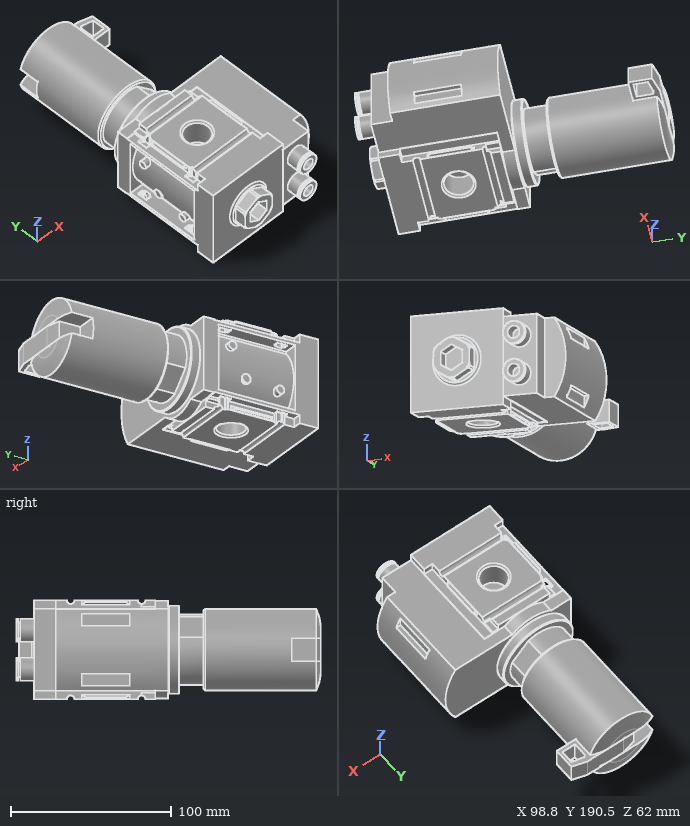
import cadquery as cq
import math


BLOCK_WIDTH = 62.0
BLOCK_HALF = BLOCK_WIDTH / 2
BLOCK_LENGTH = 84.0
LEDGE_Z = 25.5
RAIL_Z = 25.1
FRONT_PLATE_LENGTH = 13.7
STRIP_START_Y = 76.0
PAD_HALF_WIDTH = 24.4
CORNER_NOTCH_X = 20.2
CORNER_NOTCH_Y = 67.2
CORNER_NOTCH_Z = 26.9
COLLAR_TOP_Z = 30.7
COLLAR_HALF_WIDTH = 15.2

GROOVE_RADIUS = 2.3
GROOVE_CENTRES_Y = (23.0, 67.5)
PORT_Y = 45.0
PORT_DIAMETER = 18.7
PORT_DEPTH = 19
PORT_CHAMFER = 1.3
TAB_REACH = 2.5
TAB_LENGTH = 30.1
TAB_END_TAPER = 2.3
TAB_TOP_Z = 30.5
TAB_EDGE_Z = 29.7
TAB_ROOT_Z = 28.0
CLIP_CENTRES_Y = (24.4, 65.7)
CLIP_WIDTH = 7.5
CLIP_NECK_WIDTH = 4.5
CLIP_OUTER_X = 27.8
CLIP_STEP_X = 24.0
CLIP_INNER_X = 22.9

RECESS_START_Y = 16.8
RECESS_END_Y = 73.0
RECESS_HALF_HEIGHT = 22.7
RECESS_FLOOR_X = -20.0
INNER_CYLINDER_RADIUS = 29.0
PIN_DIAMETER = 5.5
LARGE_PIN_DIAMETER = 6.3
PINS = (
    (62.5, 11.0, PIN_DIAMETER, -30.7),
    (51.0, -8.4, LARGE_PIN_DIAMETER, -28.5),
    (27.5, -10.9, PIN_DIAMETER, -30.7),
)

MODULE_START_Y = 0.2
MODULE_WIDTH = 36.8
MODULE_END_X = BLOCK_HALF + MODULE_WIDTH
MODULE_ARC_START_X = 60.0
FOOT_END_X = 53.5
FOOT_LENGTH = 13.7
DISPLAY_NOTCH_X = 62.0
DISPLAY_NOTCH_Z = 15.0
DISPLAY_NOTCH_LENGTH = 30.1

FITTING_X = 42.3
FITTING_Z = 12.2
FITTING_DIAMETER = 14.5
FITTING_LENGTH = 11.0
FITTING_GROOVE_DIAMETER = 10.0
FITTING_GROOVE_WIDTH = 1.1
FITTING_RIM = 1.3
FITTING_BORE = 8.0
FITTING_BORE_DEPTH = 9.5

PLUG_LENGTH = 9.3
PLUG_ACROSS_FLATS = 24.2
PLUG_CORNER_DIAMETER = 27.0
PLUG_CHAMFER = 0.8
PLUG_BASE_RADIUS = 16.2
PLUG_BASE_TOP_RADIUS = 14.5
PLUG_BASE_HEIGHT = 1.1
SOCKET_ACROSS_FLATS = 14.5
SOCKET_DEPTH = 8.4

FLANGE_DIAMETER = 55.0
FLANGE_END_Y = 91.0
FLANGE_CHAMFER = 0.5
NECK_DIAMETER = 44.2
NECK_FLAT_DISTANCE = 20.2
KNOB_RADIUS = 25.5
KNOB_START_Y = 106.0
KNOB_SHOULDER_Y = 176.5
KNOB_END_Y = 179.5
KNOB_CHAMFER = 1.1
KNOB_TOP_RADIUS = 13.7

SLIDE_WIDTH = 14.5
SLIDE_BOTTOM_Y = 161.4
SLIDE_LEFT_X = -9.5
SLIDE_RIGHT_X = 39.2
SLIDE_SLOPE_LENGTH = 10.3
EYE_LEFT_X = 27.0
EYE_RIGHT_X = 37.0
EYE_BOTTOM_Y = 164.2
EYE_TOP_LEFT_Y = 175.8
EYE_TOP_RIGHT_Y = 173.5
EYE_CORNER_RADIUS = 1.5

PORT_MOUTH_DIAMETER = PORT_DIAMETER + 2 * PORT_CHAMFER


def box(x0, x1, y0, y1, z0, z1):
    """Box between two opposite corners."""
    return cq.Workplane("XY").box(x1 - x0, y1 - y0, z1 - z0, centered=False).translate((x0, y0, z0))


def rod(diameter, y0, y1, x=0, z=0):
    """Cylinder along Y."""
    return cq.Workplane("XZ", origin=(x, y0, z)).circle(diameter / 2).extrude(y0 - y1)


def hexagon(across_flats, y0, y1):
    """Hexagonal prism on the Y axis with two flats facing +X and -X."""
    corner_diameter = across_flats / math.cos(math.pi / 6)
    prism = cq.Workplane("XZ", origin=(0, y0, 0)).polygon(6, corner_diameter).extrude(y0 - y1)
    return prism.rotate((0, 0, 0), (0, 1, 0), 30)


def both_faces(upper):
    """The shape together with its mirror image below the XY plane."""
    return upper.union(upper.mirror("XY"))


def valve_block():
    """Block with a full-height front plate and a narrower raised pad above and below."""
    block = box(-BLOCK_HALF, BLOCK_HALF, 0, BLOCK_LENGTH, -LEDGE_Z, LEDGE_Z)
    block = block.union(box(-BLOCK_HALF, BLOCK_HALF, 0, FRONT_PLATE_LENGTH, -BLOCK_HALF, BLOCK_HALF))
    pad = box(-PAD_HALF_WIDTH, PAD_HALF_WIDTH, 0, STRIP_START_Y, -BLOCK_HALF, BLOCK_HALF)
    block = block.union(pad)
    for side in (-1, 1):
        rail_edges = sorted((side * PAD_HALF_WIDTH, side * BLOCK_HALF))
        above_rail = box(*rail_edges, FRONT_PLATE_LENGTH, STRIP_START_Y, RAIL_Z, BLOCK_HALF)
        notch_edges = sorted((side * CORNER_NOTCH_X, side * PAD_HALF_WIDTH))
        notch = box(*notch_edges, CORNER_NOTCH_Y, STRIP_START_Y, CORNER_NOTCH_Z, BLOCK_HALF)
        block = block.cut(both_faces(above_rail)).cut(both_faces(notch))
    return block.union(both_faces(collar()))


def collar():
    """Arched collar on the back strip."""
    return (
        cq.Workplane("XZ", origin=(0, STRIP_START_Y, 0))
        .moveTo(-COLLAR_HALF_WIDTH, LEDGE_Z)
        .threePointArc((0, COLLAR_TOP_Z), (COLLAR_HALF_WIDTH, LEDGE_Z))
        .close()
        .extrude(STRIP_START_Y - BLOCK_LENGTH)
    )


def pad_grooves():
    """Half-round grooves across the pads."""
    grooves = cq.Workplane("YZ", origin=(-PAD_HALF_WIDTH, 0, 0))
    grooves = grooves.pushPoints([(y, BLOCK_HALF) for y in GROOVE_CENTRES_Y])
    return both_faces(grooves.circle(GROOVE_RADIUS).extrude(2 * PAD_HALF_WIDTH))


def ports():
    """Blind ports with a chamfered mouth."""
    bore = cq.Workplane("XY", origin=(0, PORT_Y, BLOCK_HALF)).circle(PORT_DIAMETER / 2).extrude(-PORT_DEPTH)
    mouth = (
        cq.Workplane("XY", origin=(0, PORT_Y, BLOCK_HALF))
        .circle(PORT_MOUTH_DIAMETER / 2)
        .workplane(offset=-PORT_CHAMFER)
        .circle(PORT_DIAMETER / 2)
        .loft()
    )
    return both_faces(bore.union(mouth))


def side_tabs():
    """Wedge-shaped tabs on both sides of each pad, tapered at their ends."""
    tip_x = PAD_HALF_WIDTH + TAB_REACH
    half_length = TAB_LENGTH / 2
    tip_half_length = half_length - TAB_END_TAPER
    plan = (
        cq.Workplane("XY")
        .polyline([
            (PAD_HALF_WIDTH, PORT_Y - half_length),
            (tip_x, PORT_Y - tip_half_length),
            (tip_x, PORT_Y + tip_half_length),
            (PAD_HALF_WIDTH, PORT_Y + half_length),
        ])
        .close()
        .extrude(BLOCK_HALF)
    )
    section = (
        cq.Workplane("XZ", origin=(0, PORT_Y - half_length, 0))
        .polyline([
            (PAD_HALF_WIDTH, TAB_ROOT_Z),
            (tip_x, TAB_EDGE_Z),
            (tip_x, TAB_TOP_Z),
            (PAD_HALF_WIDTH, TAB_TOP_Z),
        ])
        .close()
        .extrude(-TAB_LENGTH)
    )
    right_tab = plan.intersect(section)
    return both_faces(right_tab.union(right_tab.mirror("YZ")))


def side_recess():
    """Window in the -X side that leaves the inner cylinder standing."""
    window = box(
        -BLOCK_HALF, RECESS_FLOOR_X, RECESS_START_Y, RECESS_END_Y, -RECESS_HALF_HEIGHT, RECESS_HALF_HEIGHT
    )
    return window.cut(rod(2 * INNER_CYLINDER_RADIUS, RECESS_START_Y, RECESS_END_Y))


def recess_pins():
    """Pins standing out of the inner cylinder towards -X."""
    pins = cq.Workplane("YZ")
    for y, z, diameter, end_x in PINS:
        pin = cq.Workplane("YZ", origin=(end_x, y, z)).circle(diameter / 2).extrude(RECESS_FLOOR_X - end_x)
        pins = pins.union(pin)
    return pins


def clip_pockets():
    """Stepped pockets through the rails into the side recess."""
    half = CLIP_WIDTH / 2
    neck_half = CLIP_NECK_WIDTH / 2
    pockets = cq.Workplane("XY")
    for y in CLIP_CENTRES_Y:
        wide = box(-CLIP_OUTER_X, -CLIP_STEP_X, y - half, y + half, RECESS_HALF_HEIGHT, BLOCK_HALF)
        narrow = box(
            -CLIP_STEP_X, -CLIP_INNER_X, y - neck_half, y + neck_half, RECESS_HALF_HEIGHT, BLOCK_HALF
        )
        pockets = pockets.union(wide).union(narrow)
    return both_faces(pockets)


def gauge_module():
    """Side module with a rounded outer face, a stepped front and two display notches."""
    module = (
        cq.Workplane("XZ", origin=(0, MODULE_START_Y, 0))
        .moveTo(BLOCK_HALF, -LEDGE_Z)
        .lineTo(MODULE_ARC_START_X, -LEDGE_Z)
        .threePointArc((MODULE_END_X, 0), (MODULE_ARC_START_X, LEDGE_Z))
        .lineTo(BLOCK_HALF, LEDGE_Z)
        .close()
        .extrude(MODULE_START_Y - BLOCK_LENGTH)
    )
    step = box(FOOT_END_X, MODULE_END_X, 0, FOOT_LENGTH, -LEDGE_Z, LEDGE_Z)
    notch = box(
        DISPLAY_NOTCH_X, MODULE_END_X,
        PORT_Y - DISPLAY_NOTCH_LENGTH / 2, PORT_Y + DISPLAY_NOTCH_LENGTH / 2,
        DISPLAY_NOTCH_Z, LEDGE_Z,
    )
    return module.cut(step).cut(both_faces(notch))


def fitting(z):
    """Tube fitting with a grooved rim and a blind bore."""
    rim_start = FITTING_RIM - FITTING_LENGTH
    groove_start = rim_start + FITTING_GROOVE_WIDTH
    body = rod(FITTING_DIAMETER, groove_start, MODULE_START_Y, FITTING_X, z)
    body = body.union(rod(FITTING_GROOVE_DIAMETER, rim_start, groove_start, FITTING_X, z))
    body = body.union(rod(FITTING_DIAMETER, -FITTING_LENGTH, rim_start, FITTING_X, z))
    return body.cut(rod(FITTING_BORE, -FITTING_LENGTH, FITTING_BORE_DEPTH - FITTING_LENGTH, FITTING_X, z))


def plug():
    """Hexagon plug with rounded and chamfered corners, a conical base and a hexagon socket."""
    corner_limit = rod(PLUG_CORNER_DIAMETER, -PLUG_LENGTH, 0).faces("<Y").chamfer(PLUG_CHAMFER)
    head = hexagon(PLUG_ACROSS_FLATS, -PLUG_LENGTH, 0).intersect(corner_limit)
    base = (
        cq.Workplane("XZ")
        .circle(PLUG_BASE_RADIUS)
        .workplane(offset=PLUG_BASE_HEIGHT)
        .circle(PLUG_BASE_TOP_RADIUS)
        .loft()
    )
    return head.union(base).cut(hexagon(SOCKET_ACROSS_FLATS, -PLUG_LENGTH, SOCKET_DEPTH - PLUG_LENGTH))


def neck():
    """Flange and neck; the neck has two parallel flats at 45 degrees."""
    flange = rod(FLANGE_DIAMETER, BLOCK_LENGTH, FLANGE_END_Y).faces("<Y or >Y").chamfer(FLANGE_CHAMFER)
    stem_length = KNOB_START_Y - FLANGE_END_Y
    flats = (
        cq.Workplane("XY")
        .box(2 * NECK_FLAT_DISTANCE, stem_length, NECK_DIAMETER)
        .rotate((0, 0, 0), (0, 1, 0), -45)
        .translate((0, FLANGE_END_Y + stem_length / 2, 0))
    )
    return flange.union(rod(NECK_DIAMETER, FLANGE_END_Y, KNOB_START_Y).intersect(flats))


def knob():
    """Knob with a domed end and a slot for the locking slide."""
    dome_run = KNOB_RADIUS - KNOB_TOP_RADIUS
    dome_rise = KNOB_END_Y - KNOB_SHOULDER_Y
    dome_radius = (dome_run**2 + dome_rise**2) / (2 * dome_rise)
    middle_x = dome_run / 2
    middle_drop = dome_radius - math.sqrt(dome_radius**2 - middle_x**2)
    body = (
        cq.Workplane("XY")
        .moveTo(0, KNOB_START_Y)
        .lineTo(KNOB_RADIUS - KNOB_CHAMFER, KNOB_START_Y)
        .lineTo(KNOB_RADIUS, KNOB_START_Y + KNOB_CHAMFER)
        .lineTo(KNOB_RADIUS, KNOB_SHOULDER_Y)
        .threePointArc((KNOB_TOP_RADIUS + middle_x, KNOB_END_Y - middle_drop), (KNOB_TOP_RADIUS, KNOB_END_Y))
        .lineTo(0, KNOB_END_Y)
        .close()
        .revolve(360, (0, 0, 0), (0, 1, 0))
    )
    slot = box(-KNOB_RADIUS, KNOB_RADIUS, SLIDE_BOTTOM_Y, KNOB_END_Y, -SLIDE_WIDTH / 2, SLIDE_WIDTH / 2)
    return body.cut(slot)


def build_regulator():
    """Valve block with everything fixed to it, in one solid."""
    regulator = valve_block().cut(pad_grooves()).cut(ports()).union(side_tabs())
    regulator = regulator.cut(side_recess()).cut(clip_pockets()).union(recess_pins())
    regulator = regulator.union(gauge_module()).union(plug()).union(neck()).union(knob())
    for z in (-FITTING_Z, FITTING_Z):
        regulator = regulator.union(fitting(z))
    return regulator


def build_locking_slide():
    """Slide with sloped ends, pulled out of the knob slot far enough to show its padlock eye."""
    plate = (
        cq.Workplane("XY", origin=(0, 0, -SLIDE_WIDTH / 2))
        .polyline([
            (SLIDE_LEFT_X, SLIDE_BOTTOM_Y),
            (SLIDE_RIGHT_X, SLIDE_BOTTOM_Y),
            (SLIDE_RIGHT_X, KNOB_SHOULDER_Y),
            (SLIDE_RIGHT_X - SLIDE_SLOPE_LENGTH, KNOB_END_Y),
            (SLIDE_LEFT_X + SLIDE_SLOPE_LENGTH, KNOB_END_Y),
            (SLIDE_LEFT_X, KNOB_SHOULDER_Y),
        ])
        .close()
        .extrude(SLIDE_WIDTH)
    )
    eye = (
        cq.Workplane("XY", origin=(0, 0, -SLIDE_WIDTH / 2))
        .polyline([
            (EYE_LEFT_X, EYE_BOTTOM_Y),
            (EYE_RIGHT_X, EYE_BOTTOM_Y),
            (EYE_RIGHT_X, EYE_TOP_RIGHT_Y),
            (EYE_LEFT_X, EYE_TOP_LEFT_Y),
        ])
        .close()
        .extrude(SLIDE_WIDTH)
    )
    eye = eye.edges("|Z and <X and >Y").fillet(EYE_CORNER_RADIUS)
    return plate.cut(eye)


regulator = build_regulator()
locking_slide = build_locking_slide()
result = cq.Compound.makeCompound([regulator.val(), locking_slide.val()])